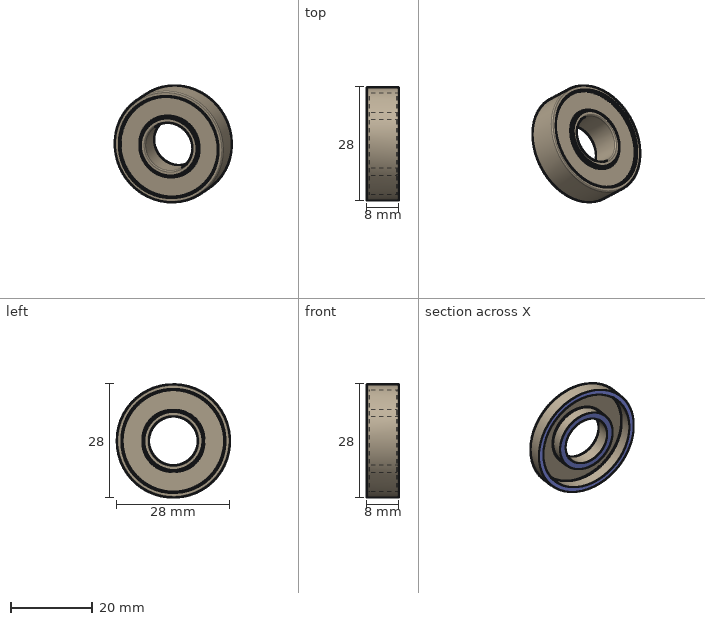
import cadquery as cq

outer_diameter = 28.0
bore_diameter = 12.0
width = 8.0
edge_radius = 0.3

shield_recess = 0.4
shield_thickness = 0.28
shield_clearance = 0.1

outer_ring_bore_radius = 12.55
inner_ring_outer_radius = 7.5
shoulder_height = 0.28
bevel_width = 0.3

outer_radius = outer_diameter / 2
bore_radius = bore_diameter / 2
half_width = width / 2
shield_face_x = half_width - shield_recess
shield_back_x = shield_face_x - shield_thickness


def tube(outer, inner, start_x, length):
    """Plain tube along X, starting at start_x."""
    return cq.Workplane("YZ", origin=(start_x, 0, 0)).circle(outer).circle(inner).extrude(length)


def end_bevel(shoulder_radius, face_radius):
    """Triangle swept about X: the corner removed from a ring at its +X end."""
    return (
        cq.Workplane("XY")
        .moveTo(half_width - bevel_width, shoulder_radius)
        .lineTo(half_width, shoulder_radius)
        .lineTo(half_width, face_radius)
        .close()
        .revolve(360, (0, 0, 0), (1, 0, 0))
    )


def cut_both_ends(ring, bevel):
    """Remove a bevel from the +X end of a ring and its mirror image from the -X end."""
    return ring.cut(bevel).cut(bevel.mirror("YZ"))


def make_outer_ring():
    """Outer ring with a rounded rim and a bore that flares at both ends."""
    ring = tube(outer_radius, outer_ring_bore_radius, -half_width, width)
    rim_edges = cq.selectors.RadiusNthSelector(-1)
    ring = ring.edges("%CIRCLE").edges(rim_edges).fillet(edge_radius)
    return cut_both_ends(ring, end_bevel(outer_ring_bore_radius, outer_ring_bore_radius + bevel_width))


def make_inner_ring():
    """Inner ring with rounded bore edges, bevelled ends and a raised band between the shields."""
    ring = tube(inner_ring_outer_radius, bore_radius, -half_width, width)
    bore_edges = cq.selectors.RadiusNthSelector(0)
    ring = ring.edges("%CIRCLE").edges(bore_edges).fillet(edge_radius)
    ring = cut_both_ends(ring, end_bevel(inner_ring_outer_radius, inner_ring_outer_radius - bevel_width))
    band_radius = inner_ring_outer_radius + shoulder_height
    band = tube(band_radius, bore_radius, -shield_back_x, 2 * shield_back_x)
    return ring.union(band)


def make_shield(start_x):
    """Flat annular shield held in the bore of the outer ring, clear of the inner ring."""
    shield_bore_radius = inner_ring_outer_radius + shield_clearance
    return tube(outer_ring_bore_radius, shield_bore_radius, start_x, shield_thickness)


outer_ring = make_outer_ring()
inner_ring = make_inner_ring()

shields = []
for start_x in (-shield_face_x, shield_back_x):
    shields.append(make_shield(start_x).val())

result = cq.Compound.makeCompound([outer_ring.val(), inner_ring.val(), *shields])